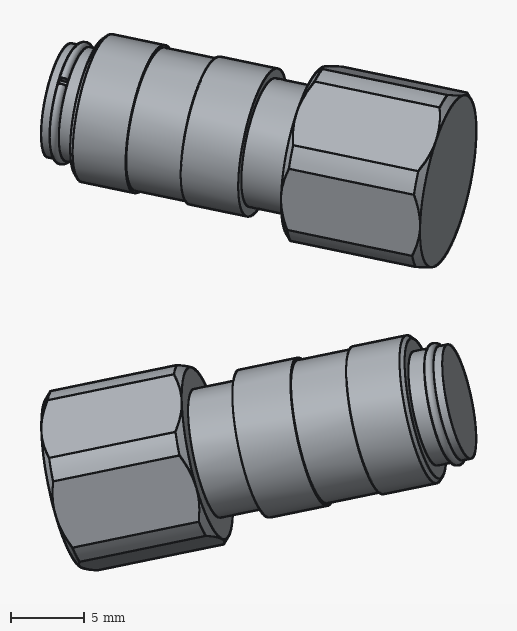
import cadquery as cq
import math

TOTAL_LENGTH = 28.05

NOSE_DIAMETER = 8.0
RING_OUTER_DIAMETER = 8.55
GROOVE_FLOOR_DIAMETER = 7.3
GROOVE_WIDTH = 0.67
RING_CENTRE_X = 0.95
RING_GAP_ANGLE = 6.0
RING_GAP_DIRECTION = 122.5

SLEEVE_DIAMETER = 10.35
SLEEVE_CHAMFER = 0.28
SLEEVE_START_X = 2.4
BAND_DIAMETER = 10.0
BAND_START_X = 6.5
BAND_END_X = 10.5
SLEEVE_END_X = 14.65

NECK_DIAMETER = 9.0
HEX_START_X = 18.0
HEX_ACROSS_FLATS = 12.0
HEX_CORNER_DIAMETER = 13.02
HEX_CORNER_DIRECTION = 85.8
HEX_CHAMFER_LENGTH = 0.5

RING_WIRE_DIAMETER = (RING_OUTER_DIAMETER - GROOVE_FLOOR_DIAMETER) / 2
RING_CENTRE_RADIUS = (RING_OUTER_DIAMETER - RING_WIRE_DIAMETER) / 2


def cylinder(start_x, end_x, diameter):
    """Solid cylinder on the X axis between two X positions."""
    return cq.Workplane("YZ", origin=(start_x, 0, 0)).circle(diameter / 2).extrude(end_x - start_x)


def make_sleeve():
    """Sleeve with a chamfered front edge and a recessed band around its middle."""
    front = cylinder(SLEEVE_START_X, BAND_START_X, SLEEVE_DIAMETER).faces("<X").chamfer(SLEEVE_CHAMFER)
    band = cylinder(BAND_START_X, BAND_END_X, BAND_DIAMETER)
    rear = cylinder(BAND_END_X, SLEEVE_END_X, SLEEVE_DIAMETER)
    return front.union(band).union(rear)


def make_hex_end():
    """Hexagon with rounded corners, turned down at both ends by a conical chamfer."""
    across_corners = HEX_ACROSS_FLATS / math.cos(math.radians(30))
    hexagon = (
        cq.Workplane("YZ", origin=(HEX_START_X, 0, 0))
        .polygon(6, across_corners)
        .extrude(TOTAL_LENGTH - HEX_START_X)
        .rotate((0, 0, 0), (1, 0, 0), HEX_CORNER_DIRECTION)
    )
    face_radius = HEX_ACROSS_FLATS / 2
    corner_radius = HEX_CORNER_DIAMETER / 2
    turned_envelope = (
        cq.Workplane("XY")
        .moveTo(HEX_START_X, 0)
        .lineTo(HEX_START_X, face_radius)
        .lineTo(HEX_START_X + HEX_CHAMFER_LENGTH, corner_radius)
        .lineTo(TOTAL_LENGTH - HEX_CHAMFER_LENGTH, corner_radius)
        .lineTo(TOTAL_LENGTH, face_radius)
        .lineTo(TOTAL_LENGTH, 0)
        .close()
        .revolve(360, (0, 0, 0), (1, 0, 0))
    )
    return hexagon.intersect(turned_envelope)


def make_ring_groove():
    """Square groove, slightly wider than the ring wire that rests on its floor."""
    start_x = RING_CENTRE_X - GROOVE_WIDTH / 2
    end_x = RING_CENTRE_X + GROOVE_WIDTH / 2
    blank = cylinder(start_x, end_x, RING_OUTER_DIAMETER)
    return blank.cut(cylinder(start_x, end_x, GROOVE_FLOOR_DIAMETER))


def make_coupling():
    """Coupling body: grooved nose, sleeve, neck and hexagonal end."""
    nose = cylinder(0, SLEEVE_START_X, NOSE_DIAMETER).cut(make_ring_groove())
    neck = cylinder(SLEEVE_END_X, HEX_START_X, NECK_DIAMETER)
    return nose.union(make_sleeve()).union(neck).union(make_hex_end())


def make_snap_ring():
    """Round wire bent into an open ring."""
    return (
        cq.Workplane("XY")
        .center(RING_CENTRE_X, RING_CENTRE_RADIUS)
        .circle(RING_WIRE_DIAMETER / 2)
        .revolve(360 - RING_GAP_ANGLE, (0, -RING_CENTRE_RADIUS, 0), (1, -RING_CENTRE_RADIUS, 0))
        .rotate((0, 0, 0), (1, 0, 0), RING_GAP_DIRECTION + RING_GAP_ANGLE / 2)
    )


coupling = make_coupling()
snap_ring = make_snap_ring()

result = cq.Compound.makeCompound([coupling.val(), snap_ring.val()])